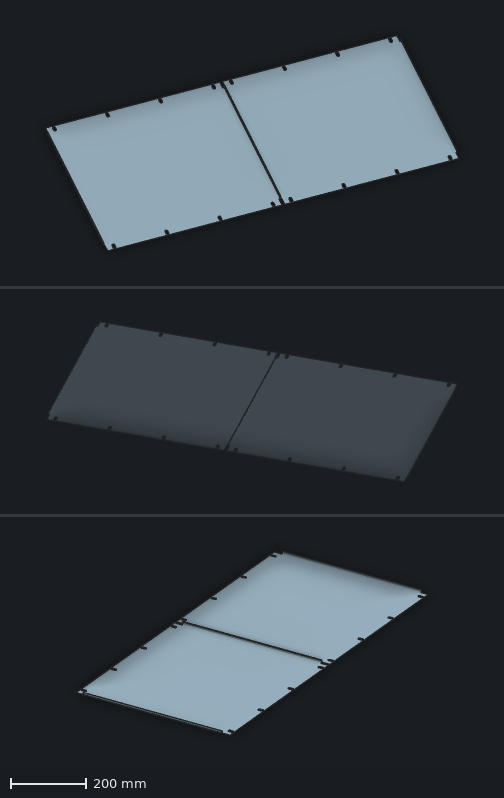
import cadquery as cq

panel_count = 2
panel_width = 482.0
overall_length = 998.0
panel_gap = 2.0
panel_length = (overall_length - (panel_count - 1) * panel_gap) / panel_count
panel_pitch = panel_length + panel_gap
sheet_thickness = 1.0

flange_height = 8.0
flange_width = 435.0
bend_inner_radius = 1.0
bend_outer_radius = bend_inner_radius + sheet_thickness

margin_width = (panel_width - flange_width) / 2
margin_center_x = (panel_width - margin_width) / 2
margin_setback = 2.5
margin_length = panel_length - 2 * margin_setback

slot_length = 15.0
slot_width = 7.0
slot_spacing_x = 460.0
slot_pitch_y = 150.0
slots_per_side = 4

on_floor = (True, True, False)


def make_flanged_strip():
    """Middle strip of the panel, bent up into a flange at both ends."""
    strip = (
        cq.Workplane("XY")
        .box(flange_width, panel_length, flange_height, centered=on_floor)
        .edges("<Z and |X")
        .fillet(bend_outer_radius)
    )
    hollow = (
        cq.Workplane("XY")
        .workplane(offset=sheet_thickness)
        .box(flange_width, panel_length - 2 * sheet_thickness, flange_height, centered=on_floor)
        .edges("<Z and |X")
        .fillet(bend_inner_radius)
    )
    return strip.cut(hollow)


def make_margins():
    """Flat margins on both sides of the flanged strip."""
    return (
        cq.Workplane("XY")
        .pushPoints([(-margin_center_x, 0), (margin_center_x, 0)])
        .box(margin_width, margin_length, sheet_thickness, centered=on_floor)
    )


def make_slots():
    """Cutters for the mounting slots, one row along each side."""
    return (
        cq.Workplane("XY")
        .rarray(slot_spacing_x, slot_pitch_y, 2, slots_per_side)
        .slot2D(slot_length, slot_width)
        .extrude(sheet_thickness)
    )


def make_panel(center_y):
    """One flanged and slotted panel, centred at the given Y."""
    panel = make_flanged_strip().union(make_margins()).cut(make_slots())
    return panel.translate((0, center_y, 0))


first_panel_y = -panel_pitch * (panel_count - 1) / 2
panels = []
for index in range(panel_count):
    panel = make_panel(first_panel_y + index * panel_pitch)
    panels.append(panel.val())

result = cq.Compound.makeCompound(panels)